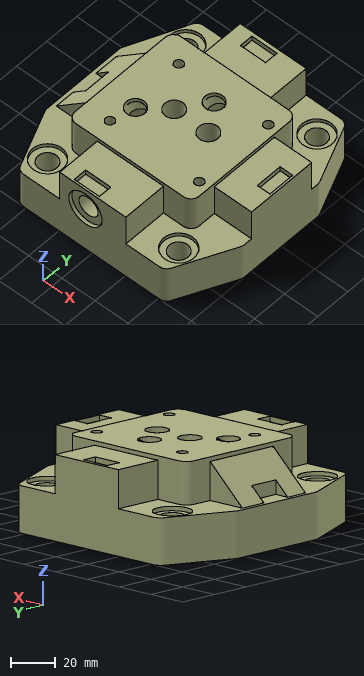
import cadquery as cq
import math

size = 120.0
half = size / 2
total_height = 42.0
base_height = 22.0
block_height = 40.0
corner_radius = 5.0

side_corner = 25.0
end_corner = 44.6
cut_side_corner = 25.8
cut_end_corner = 43.8

plate_x = 75.0
plate_y = 70.0

block_width = 40.0
end_block_x = 0.5
ramp_foot_x = -57.8
ramp_run = -plate_x / 2 - ramp_foot_x

label_length = 15.1
label_width = 7.5
label_depth = 2.8
label_edge_gap = 1.2
p_label_edge_gap = 2.2
p_label_x = -2.9
a_label_x = -4.2
b_label_y = 1.1
t_label_y = -1.2

mount_x = 39.6
mount_y = 46.0
mount_diameter = 11.0
mount_seat_diameter = 18.0
mount_seat_depth = 2.0

valve_x = 4.7
valve_y = -0.6
valve_pitch_x = 54.0
valve_pitch_y = 45.8
valve_bolt_diameter = 5.0
valve_bolt_depth = 18.0
drill_point_half_angle = math.radians(59)

work_port_y = 0.8
work_port_offset = 10.3
work_port_diameter = 11.0
work_port_floor = 24.2
pressure_port = (valve_x, 16.1)
tank_port = (-19.2, -10.0)
slanted_drill_diameter = 10.7
slanted_mouth_depth = 3.6
slant_tilt = math.radians(32)
slant_heading = math.radians(120)

bottom_port_diameter = 24.2
bottom_port_depth = work_port_floor
pressure_bottom = (-4.0, 29.4)
tank_bottom = (-31.8, -1.2)
a_bottom = (-4.0, -30.0)
b_bottom = (25.0, -2.4)

side_port_z = 27.0
side_port_diameter = 11.5
side_seat_diameter = 20.0
side_seat_depth = 2.0
a_side_x = -4.0

DOWN = (0, 0, -1)
UP = (0, 0, 1)
INWARD = (0, 1, 0)


def box(x_min, x_max, y_min, y_max, z_min, z_max):
    """Axis-aligned block given by its limits."""
    return cq.Workplane("XY").box(
        x_max - x_min, y_max - y_min, z_max - z_min, centered=False
    ).translate((x_min, y_min, z_min))


def drill(start, direction, diameter, depth, pointed=False):
    """Round cutter, optionally with a conical drill point beyond its depth."""
    origin = cq.Vector(*start)
    axis = cq.Vector(*direction).normalized()
    radius = diameter / 2
    cutter = cq.Solid.makeCylinder(radius, depth, origin, axis)
    if pointed:
        point_height = radius / math.tan(drill_point_half_angle)
        point = cq.Solid.makeCone(radius, 0, point_height, origin + axis * depth, axis)
        cutter = cutter.fuse(point)
    return cq.Workplane("XY").add(cutter)


def make_base():
    outline = [
        (-end_corner, half),
        (end_corner, half),
        (half, side_corner),
        (half, -cut_side_corner),
        (cut_end_corner, -half),
        (-end_corner, -half),
        (-half, -side_corner),
        (-half, side_corner),
    ]
    base = cq.Workplane("XY").polyline(outline).close().extrude(base_height)
    return base.edges("|Z").fillet(corner_radius)


def make_plate():
    plate = cq.Workplane("XY").rect(plate_x, plate_y).extrude(total_height)
    return plate.edges("|Z").fillet(corner_radius)


def make_blocks():
    reach = block_width / 2
    end_blocks = box(end_block_x - reach, end_block_x + reach, -half, half, 0, block_height)
    b_block = box(0, half, -reach, reach, 0, block_height)
    ramp_profile = [
        (ramp_foot_x, base_height),
        (ramp_foot_x + ramp_run, block_height),
        (0, block_height),
        (0, base_height),
    ]
    ramp = cq.Workplane("XZ").polyline(ramp_profile).close().extrude(reach, both=True)
    return end_blocks.union(b_block).union(ramp)


def label_recess(x, y, x_length, y_length, floor):
    return box(x - x_length / 2, x + x_length / 2, y - y_length / 2, y + y_length / 2, floor, total_height)


def cut_labels(body):
    floor = block_height - label_depth
    row = half - label_edge_gap - label_width / 2
    p_row = half - p_label_edge_gap - label_width / 2
    body = body.cut(label_recess(p_label_x, p_row, label_length, label_width, floor))
    body = body.cut(label_recess(a_label_x, -row, label_length, label_width, floor))
    body = body.cut(label_recess(row, b_label_y, label_width, label_length, floor))
    ramp_label_x = ramp_foot_x + label_width / 2
    return body.cut(label_recess(ramp_label_x, t_label_y, label_width, label_length, base_height))


def cut_mounting_holes(body):
    for x in (-mount_x, mount_x):
        for y in (-mount_y, mount_y):
            top = (x, y, base_height)
            body = body.cut(drill(top, DOWN, mount_diameter, base_height))
            body = body.cut(drill(top, DOWN, mount_seat_diameter, mount_seat_depth))
    return body


def cut_valve_bolts(body):
    for side_x in (-1, 1):
        for side_y in (-1, 1):
            top = (valve_x + side_x * valve_pitch_x / 2, valve_y + side_y * valve_pitch_y / 2, total_height)
            body = body.cut(drill(top, DOWN, valve_bolt_diameter, valve_bolt_depth, pointed=True))
    return body


def cut_bottom_ports(body):
    for x, y in (pressure_bottom, tank_bottom, a_bottom, b_bottom):
        body = body.cut(drill((x, y, 0), UP, bottom_port_diameter, bottom_port_depth))
    return body


def cut_work_ports(body):
    depth = total_height - work_port_floor
    for side in (-1, 1):
        top = (valve_x + side * work_port_offset, work_port_y, total_height)
        body = body.cut(drill(top, DOWN, work_port_diameter, depth, pointed=side > 0))
    return body


def cut_slanted_ports(body):
    """Pressure and tank openings: a short vertical mouth, then a bore slanting into the bottom port."""
    axis = cq.Vector(
        math.sin(slant_tilt) * math.cos(slant_heading),
        math.sin(slant_tilt) * math.sin(slant_heading),
        -math.cos(slant_tilt),
    )
    overlap = slanted_drill_diameter / 2 * math.tan(slant_tilt)
    bend_z = total_height - slanted_mouth_depth
    length = overlap + (bend_z - bottom_port_depth) / math.cos(slant_tilt)
    for x, y in (pressure_port, tank_port):
        body = body.cut(drill((x, y, total_height), DOWN, slanted_drill_diameter, slanted_mouth_depth))
        start = cq.Vector(x, y, bend_z) - axis * overlap
        body = body.cut(drill(start.toTuple(), axis.toTuple(), slanted_drill_diameter, length + overlap))
    return body


def cut_side_port(body):
    mouth = (a_side_x, -half, side_port_z)
    body = body.cut(drill(mouth, INWARD, side_port_diameter, half, pointed=True))
    return body.cut(drill(mouth, INWARD, side_seat_diameter, side_seat_depth))


body = make_base().union(make_plate()).union(make_blocks())
body = cut_labels(body)
body = cut_mounting_holes(body)
body = cut_valve_bolts(body)
body = cut_bottom_ports(body)
body = cut_work_ports(body)
body = cut_slanted_ports(body)
result = cut_side_port(body)